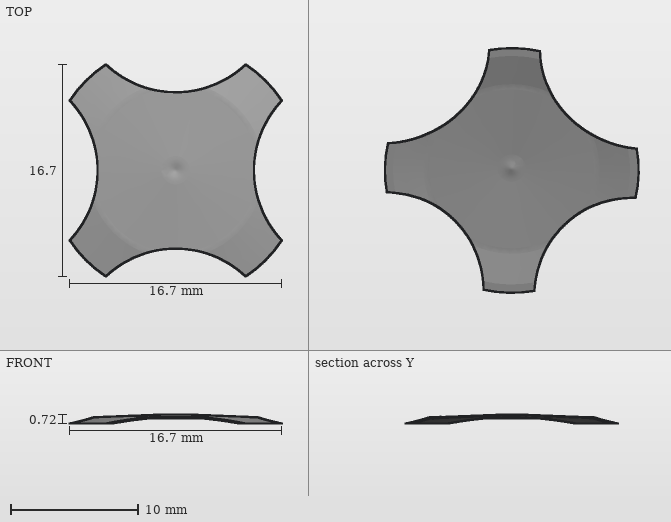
import cadquery as cq
import math

outer_side = 16.69
overall_height = 0.72
sheet_thickness = 0.103
rim_radius = 10.0
bend_outer_radius = 6.93
bend_inner_radius = 6.5
crown_slope = 0.04
skirt_slope = 0.155
dimple_radius = 1.12
dimple_floor_radius = 0.18
lip_arc_radius = 3.5
cutout_reach = 6.16

crown_angle = math.atan(crown_slope)
lip_top_radius = dimple_radius - lip_arc_radius * math.sin(crown_angle)
lip_centre_height = overall_height - lip_arc_radius

floor_angle = math.asin((lip_top_radius - dimple_floor_radius) / lip_arc_radius)
floor_edge_height = lip_centre_height + lip_arc_radius * math.cos(floor_angle)
floor_height = floor_edge_height - dimple_floor_radius * math.tan(floor_angle / 2)

crown_height = lip_centre_height + lip_arc_radius * math.cos(crown_angle)
bend_inner_height = crown_height - crown_slope * (bend_inner_radius - dimple_radius)
bend_outer_height = skirt_slope * (rim_radius - bend_outer_radius)

half_side = outer_side / 2
corner_offset = math.sqrt(rim_radius**2 - half_side**2)
cutout_sagitta = half_side - cutout_reach
cutout_radius = (cutout_sagitta**2 + corner_offset**2) / (2 * cutout_sagitta)


def make_dished_solid(drop):
    """Solid below the dished face, with that face lowered by drop."""
    foot_radius = rim_radius - drop / skirt_slope
    return (
        cq.Workplane("XZ")
        .moveTo(0, 0)
        .lineTo(foot_radius, 0)
        .lineTo(bend_outer_radius, bend_outer_height - drop)
        .tangentArcPoint((bend_inner_radius, bend_inner_height - drop), relative=False)
        .lineTo(dimple_radius, crown_height - drop)
        .threePointArc(
            (lip_top_radius, overall_height - drop),
            (dimple_floor_radius, floor_edge_height - drop),
        )
        .tangentArcPoint((0, floor_height - drop), relative=False)
        .close()
        .revolve(360, (0, 0, 0), (0, 1, 0))
    )


def make_cutouts():
    """Four round cutters, one centred on each side of the disc."""
    return (
        cq.Workplane("XY")
        .polarArray(cutout_reach + cutout_radius, 0, 360, 4)
        .circle(cutout_radius)
        .extrude(overall_height)
    )


dished_sheet = make_dished_solid(0).cut(make_dished_solid(sheet_thickness))
result = dished_sheet.cut(make_cutouts())